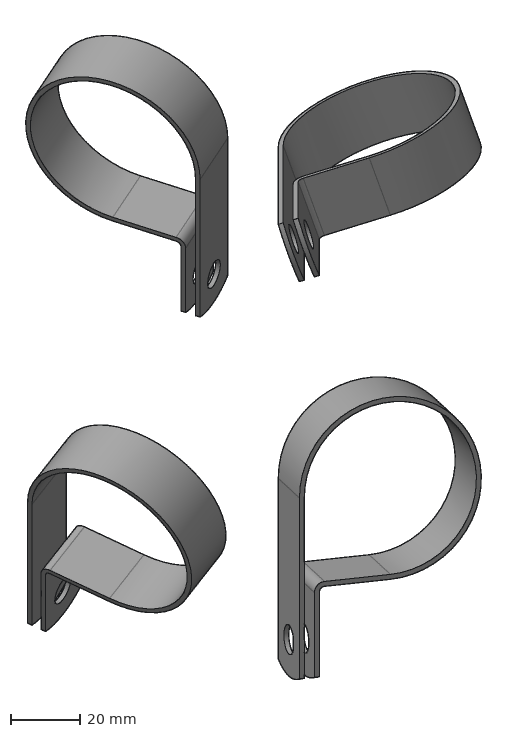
import cadquery as cq
import math

total_height = 84.8
strip_width = 19.1
thickness = 1.5
loop_diameter = 55.4
leg_gap = 3.05
bend_inner_radius = 1.5
hole_diameter = 8.7
hole_above_tip = 11.1
tip_rise = 2.2

outer_radius = loop_diameter / 2
inner_radius = outer_radius - thickness
bend_outer_radius = bend_inner_radius + thickness
tip_z = outer_radius - total_height
short_leg_outer_x = inner_radius - leg_gap
short_leg_inner_x = short_leg_outer_x - thickness
half_width = strip_width / 2
diagonal = math.sqrt(0.5)


def bent_strip():
    """Loop with a straight long leg and a bent short leg, extruded along Y."""
    profile = (
        cq.Workplane("XZ", origin=(0, half_width, 0))
        .moveTo(outer_radius, tip_z)
        .lineTo(outer_radius, 0)
        .threePointArc((-outer_radius * diagonal, outer_radius * diagonal), (0, -outer_radius))
        .lineTo(short_leg_inner_x - bend_inner_radius, -outer_radius)
        .radiusArc((short_leg_inner_x, -outer_radius - bend_inner_radius), bend_inner_radius)
        .lineTo(short_leg_inner_x, tip_z)
        .lineTo(short_leg_outer_x, tip_z)
        .lineTo(short_leg_outer_x, -inner_radius - bend_outer_radius)
        .radiusArc((short_leg_outer_x - bend_outer_radius, -inner_radius), -bend_outer_radius)
        .lineTo(0, -inner_radius)
        .threePointArc((-inner_radius * diagonal, inner_radius * diagonal), (inner_radius, 0))
        .lineTo(inner_radius, tip_z)
        .close()
    )
    return profile.extrude(strip_width)


def rounded_side_outline():
    """Envelope along X that rounds the lower ends of both legs."""
    outline = (
        cq.Workplane("YZ", origin=(-outer_radius, 0, 0))
        .moveTo(-half_width, outer_radius)
        .lineTo(-half_width, tip_z + tip_rise)
        .threePointArc((0, tip_z), (half_width, tip_z + tip_rise))
        .lineTo(half_width, outer_radius)
        .close()
    )
    return outline.extrude(loop_diameter)


def screw_hole():
    """Cutter for the hole passing through both legs."""
    return (
        cq.Workplane("YZ")
        .center(0, tip_z + hole_above_tip)
        .circle(hole_diameter / 2)
        .extrude(loop_diameter)
    )


result = bent_strip().intersect(rounded_side_outline()).cut(screw_hole())